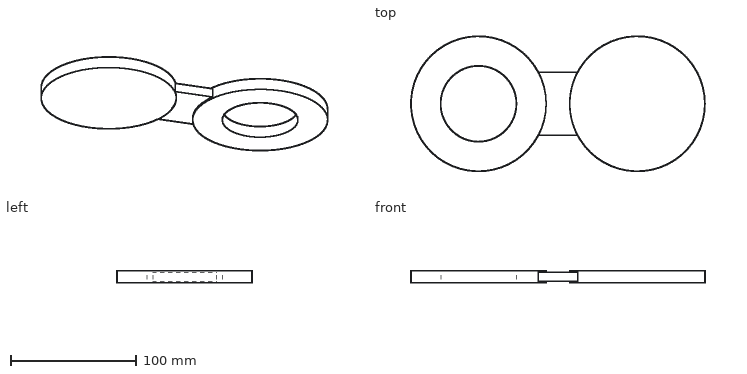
import cadquery as cq

length = 235.0
disc_diameter = 108.0
disc_thickness = 9.6
bore_diameter = 60.4

web_width = 50.5
web_thickness = 7.5

center_spacing = length - disc_diameter
ring_x = -center_spacing / 2
blank_x = center_spacing / 2


def round_plate(x_center, diameter):
    """Disc-thick cylinder along Z, centred on the mid-plane at the given X."""
    return cq.Workplane("XY").cylinder(disc_thickness, diameter / 2).translate((x_center, 0, 0))


web_length = center_spacing - (disc_diameter + bore_diameter) / 2
web = cq.Workplane("XY").box(web_length, web_width, web_thickness)

ring = round_plate(ring_x, disc_diameter).cut(round_plate(ring_x, bore_diameter))
blank = round_plate(blank_x, disc_diameter)

result = ring.union(web).union(blank)